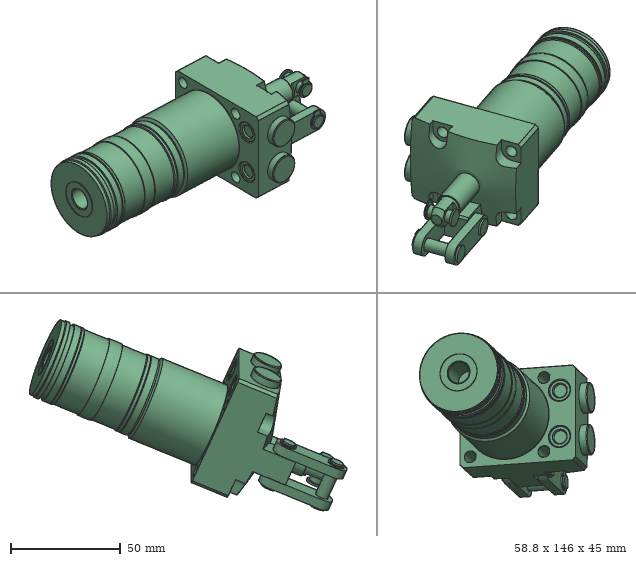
import cadquery as cq
import math


OVERALL_LENGTH = 146

FLANGE_LEFT = 22.5
FLANGE_RIGHT = 32.5
FLANGE_HALF_HEIGHT = 22.5
FLANGE_TOP = 27.7
CORNER_CHAMFER = 1.5
CROWN_FLAT_RADIUS = 7.5
CROWN_SLOPE = 15

BOLT_OFFSET = 17.5
BOLT_RADIUS = 2.8
BOLT_SEAT_RADIUS = 5.0
BOLT_SEAT_Y = 18.0

PLUG_RADIUS = 7.0
PLUG_HEIGHT = 3.8
PLUG_Y = 12.8
PLUG_OFFSET = 9.9
PLUG_CHAMFER = 0.5
PORT_X = 25.0
PORT_OFFSET = 11.0
PORT_RADIUS = 5.3
PORT_STEP_RADIUS = 3.5
PORT_STEP_Y = 0.5
PORT_FLOOR_Y = 1.3
PORT_TAPER = 0.5

CYLINDER_END = -82.5
BARREL_RADIUS = 19.9
BARREL_END = -32.5
BARREL_ROOT = 0.1
BAND_RADIUS = 19.0
SLEEVE_RADIUS = 18.5
GROOVE_RADIUS = 18.1
SLOPE = 0.9
STEP = 0.5
UPPER_BAND = (-34.3, -39.7)
UPPER_LINE = -37.8
MIDDLE_BAND = (-52.3, -58.7)
RIDGE_START = -54.0
RIDGE_FLAT = 0.9
RIDGE_HEIGHT = 0.07
LOWER_BAND = (-71.4, -76.2)
LOWER_LINE = -72.5
GROOVE_END = -78.4
END_BAND_END = -80.3

RECESS_RADIUS = 8.8
RECESS_DEPTH = 0.3
BORE_RADIUS = 5.0
BORE_DEPTH = 17.5
BORE_CHAMFER = 0.5

ROD_RADIUS = 6.0
ROD_BOTTOM = 0.0
ROD_SHOULDER = 47.6
ROD_CHAMFER_RADIAL = 0.1
ROD_CHAMFER_AXIAL = 0.9
NECK_RADIUS = 5.3
TANG_RADIUS = 5.1
TANG_ROOT = 49.0
TANG_TIP = 60.0
TANG_CHAMFER = 2.5
TANG_WIDTH = 6.0

PIN_SPACING = 24.0
LINK_TIP = CYLINDER_END + OVERALL_LENGTH
LINK_END_RADIUS = 5.5
LINK_WIDTH = 10.8
LINK_Z = -16.6
LINK_INNER_X = 6.0
LINK_OUTER_X = 10.5
LINK_PIN_Y = LINK_TIP - LINK_END_RADIUS
LUG_PIN_Y = LINK_PIN_Y - PIN_SPACING
LUG_TOP_Y = 39.9
LUG_TOP_Z = -9.9
LUG_CHAMFER = 1.0

PIN_RADIUS = 3.0
ROD_PIN_Y = 54.9
PIN_HEAD_RADIUS = 4.1
PIN_HEAD_LENGTH = 1.0
PIN_TAIL = 1.5
RING_RADIUS = 4.0
RING_THICKNESS = 0.6
RING_EAR_WIDTH = 4.0
RING_EAR_REACH = 5.7


def revolve_about_y(profile):
    """Revolve a closed (radius, y) outline about the Y axis."""
    return cq.Workplane("XY").polyline(profile).close().revolve(360, (0, 0, 0), (0, 1, 0))


def cylinder_y(x, z, radius, y_start, y_end):
    solid = cq.Solid.makeCylinder(radius, y_end - y_start, cq.Vector(x, y_start, z), cq.Vector(0, 1, 0))
    return cq.Workplane(solid)


def cylinder_x(y, z, radius, x_start, x_end):
    solid = cq.Solid.makeCylinder(radius, x_end - x_start, cq.Vector(x_start, y, z), cq.Vector(1, 0, 0))
    return cq.Workplane(solid)


def block(x_range, y_range, z_range):
    sizes = [high - low for low, high in (x_range, y_range, z_range)]
    corner = (x_range[0], y_range[0], z_range[0])
    return cq.Workplane("XY").box(*sizes, centered=False).translate(corner)



def flange_block():
    """Chamfered block whose top falls away conically from a flat crown."""
    blank = block(
        (-FLANGE_LEFT, FLANGE_RIGHT), (0, FLANGE_TOP), (-FLANGE_HALF_HEIGHT, FLANGE_HALF_HEIGHT)
    ).edges("|Y").chamfer(CORNER_CHAMFER)
    reach = FLANGE_LEFT + FLANGE_RIGHT
    drop = (reach - CROWN_FLAT_RADIUS) * math.tan(math.radians(CROWN_SLOPE))
    crown = revolve_about_y([
        (0, 0),
        (reach, 0),
        (reach, FLANGE_TOP - drop),
        (CROWN_FLAT_RADIUS, FLANGE_TOP),
        (0, FLANGE_TOP),
    ])
    return blank.intersect(crown)


def bolt_cut(side_x, side_z):
    """Bolt hole with a round seat that opens to the Z side, and at -X also to the X side."""
    x = side_x * BOLT_OFFSET
    z = side_z * BOLT_OFFSET
    hole = cylinder_y(x, z, BOLT_RADIUS, 0, FLANGE_TOP)
    seat = cylinder_y(x, z, BOLT_SEAT_RADIUS, BOLT_SEAT_Y, FLANGE_TOP)
    z_range = sorted((z, side_z * FLANGE_HALF_HEIGHT))
    y_range = (BOLT_SEAT_Y, FLANGE_TOP)
    z_opening = block((x - BOLT_SEAT_RADIUS, x + BOLT_SEAT_RADIUS), y_range, z_range)
    cut = hole.union(seat).union(z_opening)
    if side_x < 0:
        z_range = sorted((z - side_z * BOLT_SEAT_RADIUS, side_z * FLANGE_HALF_HEIGHT))
        cut = cut.union(block((-FLANGE_LEFT, x), y_range, z_range))
    return cut


def oil_port(side_z):
    """Shallow stepped recess with tapered walls in the mounting face."""
    port = revolve_about_y([
        (0, 0),
        (PORT_RADIUS, 0),
        (PORT_RADIUS - PORT_TAPER, PORT_STEP_Y),
        (PORT_STEP_RADIUS, PORT_STEP_Y),
        (PORT_STEP_RADIUS - PORT_TAPER, PORT_FLOOR_Y),
        (0, PORT_FLOOR_Y),
    ])
    return port.translate((PORT_X, 0, side_z * PORT_OFFSET))


def pipe_plug(side_z):
    plug = cylinder_x(PLUG_Y, side_z * PLUG_OFFSET, PLUG_RADIUS, FLANGE_RIGHT, FLANGE_RIGHT + PLUG_HEIGHT)
    return plug.faces(">X").chamfer(PLUG_CHAMFER)


def line_groove(radius, depth, start):
    """Outline points of a narrow V groove running down from y = start."""
    return [(radius, start), (radius - depth, start - STEP / 2), (radius, start - STEP)]


def stepped_cylinder():
    upper_start, upper_end = UPPER_BAND
    middle_start, middle_end = MIDDLE_BAND
    lower_start, lower_end = LOWER_BAND
    line_depth = BAND_RADIUS - SLEEVE_RADIUS
    ridge_radius = BAND_RADIUS + RIDGE_HEIGHT
    ridge_top = RIDGE_START - SLOPE
    ridge_bottom = ridge_top - RIDGE_FLAT
    return revolve_about_y([
        (0, 0),
        (BARREL_RADIUS + BARREL_ROOT, 0),
        (BARREL_RADIUS, -BARREL_ROOT),
        (BARREL_RADIUS, BARREL_END),
        (SLEEVE_RADIUS, BARREL_END - SLOPE),
        (BAND_RADIUS, upper_start),
        *line_groove(BAND_RADIUS, line_depth, UPPER_LINE),
        (BAND_RADIUS, upper_end),
        (SLEEVE_RADIUS, upper_end - STEP),
        (SLEEVE_RADIUS, middle_start),
        (BAND_RADIUS, middle_start),
        (BAND_RADIUS, RIDGE_START),
        (ridge_radius, ridge_top),
        (ridge_radius, ridge_bottom),
        (BAND_RADIUS, ridge_bottom - SLOPE),
        (BAND_RADIUS, middle_end),
        (SLEEVE_RADIUS, middle_end),
        (SLEEVE_RADIUS, lower_start + STEP),
        (BAND_RADIUS, lower_start),
        *line_groove(BAND_RADIUS, line_depth, LOWER_LINE),
        (BAND_RADIUS, lower_end),
        (GROOVE_RADIUS, lower_end),
        (GROOVE_RADIUS, GROOVE_END),
        (BAND_RADIUS, GROOVE_END),
        (BAND_RADIUS, END_BAND_END),
        (SLEEVE_RADIUS, END_BAND_END - STEP),
        (SLEEVE_RADIUS, CYLINDER_END),
        (0, CYLINDER_END),
    ])


def end_bore():
    """Shallow round recess and chamfered blind bore in the end of the cylinder."""
    recess_floor = CYLINDER_END + RECESS_DEPTH
    bore_floor = recess_floor + BORE_DEPTH
    return revolve_about_y([
        (0, CYLINDER_END),
        (RECESS_RADIUS, CYLINDER_END),
        (RECESS_RADIUS, recess_floor),
        (BORE_RADIUS + BORE_CHAMFER, recess_floor),
        (BORE_RADIUS, recess_floor + BORE_CHAMFER),
        (BORE_RADIUS, bore_floor),
        (0, bore_floor),
    ])


def link_lug():
    """Lug that rises from the crown to carry the links."""
    lug = block((-LINK_INNER_X, LINK_INNER_X), (0, LUG_TOP_Y), (-FLANGE_HALF_HEIGHT, LUG_TOP_Z))
    return lug.edges(">Y and >Z").chamfer(LUG_CHAMFER)


def make_housing():
    housing = flange_block().union(stepped_cylinder()).union(link_lug())
    for side_z in (-1, 1):
        housing = housing.union(pipe_plug(side_z)).cut(oil_port(side_z))
        for side_x in (-1, 1):
            housing = housing.cut(bolt_cut(side_x, side_z))
    rod_bore = cylinder_y(0, 0, ROD_RADIUS, ROD_BOTTOM, FLANGE_TOP)
    lug_bore = cylinder_x(LUG_PIN_Y, LINK_Z, PIN_RADIUS, -LINK_INNER_X, LINK_INNER_X)
    return housing.cut(end_bore()).cut(rod_bore).cut(lug_bore)



def headed_pin(y, z, grip):
    """Pin along X with a head at -X and an eared retaining ring at +X of a grip of the given length."""
    half_grip = grip / 2
    ring_end = half_grip + RING_THICKNESS
    head = cylinder_x(y, z, PIN_HEAD_RADIUS, -half_grip - PIN_HEAD_LENGTH, -half_grip)
    shank = cylinder_x(y, z, PIN_RADIUS, -half_grip, half_grip + PIN_TAIL)
    ring = cylinder_x(y, z, RING_RADIUS, half_grip, ring_end)
    ear = block(
        (half_grip, ring_end),
        (y - RING_EAR_WIDTH / 2, y + RING_EAR_WIDTH / 2),
        (z, z + RING_EAR_REACH),
    )
    return shank.union(head).union(ring).union(ear)



def make_rod():
    """Round rod with a short neck and a coned, flat-sided tang that is bored for the rod pin."""
    rod = revolve_about_y([
        (0, ROD_BOTTOM),
        (ROD_RADIUS, ROD_BOTTOM),
        (ROD_RADIUS, ROD_SHOULDER - ROD_CHAMFER_AXIAL),
        (ROD_RADIUS - ROD_CHAMFER_RADIAL, ROD_SHOULDER),
        (NECK_RADIUS, ROD_SHOULDER),
        (TANG_RADIUS, TANG_ROOT),
        (TANG_RADIUS, TANG_TIP - TANG_CHAMFER),
        (TANG_RADIUS - TANG_CHAMFER, TANG_TIP),
        (0, TANG_TIP),
    ])
    half_width = TANG_WIDTH / 2
    for x_range in ((-TANG_RADIUS, -half_width), (half_width, TANG_RADIUS)):
        rod = rod.cut(block(x_range, (TANG_ROOT, TANG_TIP), (-TANG_RADIUS, TANG_RADIUS)))
    return rod.cut(cylinder_x(ROD_PIN_Y, 0, PIN_RADIUS, -half_width, half_width))



def link_plate(x_start):
    """Flat link with arc ends and a hole for the link pin."""
    half_width = LINK_WIDTH / 2
    arc_inset = math.sqrt(LINK_END_RADIUS**2 - half_width**2)
    low = LUG_PIN_Y - arc_inset
    high = LINK_PIN_Y + arc_inset
    thickness = LINK_OUTER_X - LINK_INNER_X
    plate = (
        cq.Workplane("YZ", origin=(x_start, 0, 0))
        .moveTo(low, LINK_Z - half_width)
        .lineTo(high, LINK_Z - half_width)
        .threePointArc((LINK_TIP, LINK_Z), (high, LINK_Z + half_width))
        .lineTo(low, LINK_Z + half_width)
        .threePointArc((LUG_PIN_Y - LINK_END_RADIUS, LINK_Z), (low, LINK_Z - half_width))
        .close()
        .extrude(thickness)
    )
    return plate.cut(cylinder_x(LINK_PIN_Y, LINK_Z, PIN_RADIUS, x_start, x_start + thickness))


def make_link_yoke():
    """Pair of links joined by the fixed pin that turns in the lug."""
    yoke = headed_pin(LUG_PIN_Y, LINK_Z, 2 * LINK_OUTER_X)
    for x_start in (-LINK_OUTER_X, LINK_INNER_X):
        yoke = yoke.union(link_plate(x_start))
    return yoke



housing = make_housing()
rod = make_rod()
link_yoke = make_link_yoke()
pin_places = [
    (ROD_PIN_Y, 0, 2 * LINK_INNER_X),
    (LINK_PIN_Y, LINK_Z, 2 * LINK_OUTER_X),
]
pins = [headed_pin(y, z, grip) for y, z, grip in pin_places]

result = cq.Compound.makeCompound([
    housing.solids().val(),
    rod.solids().val(),
    link_yoke.solids().val(),
    *[pin.solids().val() for pin in pins],
])